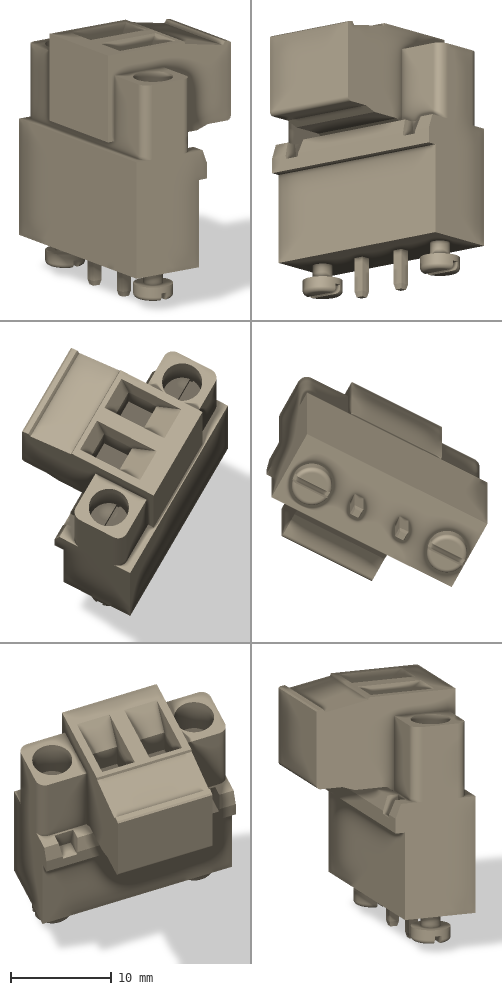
import cadquery as cq

overall_height = 25.9
pin_taper_height = 0.55
screw_bottom = 1.0
drive_slot_top = 1.85
screw_head_top = 2.49
housing_bottom = 4.01
latch_bottom = 13.03
latch_chamfer_bottom = 14.55
housing_top = 16.03
flange_top = 23.72

pitch = 5.08
overall_width = 20.33
plug_width = 10.15
pin_positions = (-pitch / 2, pitch / 2)
screw_positions = (-1.5 * pitch, 1.5 * pitch)

overall_depth = 15.05
housing_depth = 7.6
latch_depth = 8.6
latch_chamfer = 0.57
flange_front = 0.9
flange_back = 6.7
flange_radius = 0.98
screw_y = (flange_front + flange_back) / 2

notch_front = 6.92
notch_top_width = 2.02
notch_floor_width = 1.5
notch_depth = 1.81

plug_front = 0.1
plug_underside = 16.95
plug_step = 16.5
plug_corner_radius = 0.45

opening_width = 3.5
opening_front = 2.1
opening_back = 8.88
throat_width = 3.0
throat_front = 4.77
throat_back = 7.93
funnel_depth = 1.95
throat_depth = 2.6

shank_diameter = 2.0
screw_head_diameter = 4.0
screw_head_fillet = 0.45
drive_slot_width = 0.7
bore_diameter = 4.0
bore_depth = 5.18
cap_diameter = 3.9
cap_height = 1.3
cap_slot_width = 0.35
cap_slot_depth = 0.52
pin_size = 1.0
pin_tip_size = 0.73


def box(x_size, y_start, y_end, z_start, z_end, x_center=0.0):
    """Box centred on x_center and placed by its Y and Z limits."""
    base = cq.Workplane("XY", origin=(x_center, y_start, z_start))
    return base.box(x_size, y_end - y_start, z_end - z_start, centered=(True, False, False))


def cylinder(diameter, z_start, z_end, x_center):
    """Vertical cylinder on a screw axis."""
    base = cq.Workplane("XY", origin=(x_center, screw_y, z_start))
    return base.circle(diameter / 2).extrude(z_end - z_start)


def bar(x_size, y_size, z_start, z_end, x_center):
    """Rectangular bar centred on a screw or pin axis."""
    return box(x_size, screw_y - y_size / 2, screw_y + y_size / 2, z_start, z_end, x_center)


def side_profile(points, width):
    """Extrude a closed (Y, Z) outline symmetrically across X."""
    return cq.Workplane("YZ").polyline(points).close().extrude(width / 2, both=True)


def make_housing():
    """Block with a chamfered latch ledge along the top of its back."""
    outline = [
        (0, housing_bottom),
        (housing_depth, housing_bottom),
        (housing_depth, latch_bottom),
        (latch_depth, latch_bottom),
        (latch_depth, latch_chamfer_bottom),
        (latch_depth - latch_chamfer, housing_top),
        (0, housing_top),
    ]
    return side_profile(outline, overall_width)


def make_notch(x):
    """Notch with sloping sides, open to the back of the latch ledge."""
    floor = housing_top - notch_depth
    outline = [
        (x - notch_top_width / 2, housing_top),
        (x - notch_floor_width / 2, floor),
        (x + notch_floor_width / 2, floor),
        (x + notch_top_width / 2, housing_top),
    ]
    notch_length = latch_depth - notch_front
    return cq.Workplane("XZ", origin=(0, notch_front, 0)).polyline(outline).close().extrude(-notch_length)


def make_flange():
    """Full-width block whose two ends form the screw posts."""
    flange = box(overall_width, flange_front, flange_back, housing_top, flange_top)
    return flange.edges("|Z").fillet(flange_radius)


def make_plug():
    """Plug body with a grip lip at the back of its sloping top and a stepped underside."""
    outline = [
        (plug_front, overall_height),
        (9.4, overall_height),
        (9.5, 25.65),
        (14.1, 24.8),
        (14.35, 25.17),
        (14.87, 25.1),
        (overall_depth, 24.97),
        (overall_depth, plug_underside),
        (12.28, plug_underside),
        (10.93, plug_step),
        (7.49, plug_step),
        (6.85, housing_top),
        (flange_front, housing_top),
        (flange_front, plug_underside),
        (plug_front, plug_underside),
    ]
    lower_back_edge = cq.selectors.NearestToPointSelector((0, overall_depth, plug_underside))
    return side_profile(outline, plug_width).edges(lower_back_edge).fillet(plug_corner_radius)


def make_wire_opening(x):
    """Funnel narrowing from the plug top, followed by a straight throat."""
    opening_y = (opening_front + opening_back) / 2
    throat_y = (throat_front + throat_back) / 2
    funnel_bottom = overall_height - funnel_depth
    funnel = (
        cq.Workplane("XY", origin=(x, opening_y, overall_height))
        .rect(opening_width, opening_back - opening_front)
        .workplane(offset=-funnel_depth)
        .center(0, throat_y - opening_y)
        .rect(throat_width, throat_back - throat_front)
        .loft(ruled=True)
    )
    throat = box(throat_width, throat_front, throat_back, funnel_bottom - throat_depth, funnel_bottom, x)
    return funnel.union(throat)


def make_cap(x):
    """Slotted screw face resting on the floor of the flange bore."""
    bottom = flange_top - bore_depth
    top = bottom + cap_height
    slot = bar(cap_diameter, cap_slot_width, top - cap_slot_depth, top, x)
    return cylinder(cap_diameter, bottom, top, x).cut(slot)


def make_lower_screw(x):
    """Shank and slotted head hanging below the housing."""
    head = cylinder(screw_head_diameter, screw_bottom, screw_head_top, x)
    head = head.faces("<Z").edges().fillet(screw_head_fillet)
    slot = bar(screw_head_diameter, drive_slot_width, screw_bottom, drive_slot_top, x)
    shank = cylinder(shank_diameter, screw_head_top, housing_bottom, x)
    return shank.union(head.cut(slot))


def make_pin(x):
    """Square pin with a tapered tip."""
    shaft = bar(pin_size, pin_size, pin_taper_height, housing_bottom, x)
    tip = (
        cq.Workplane("XY", origin=(x, screw_y, 0))
        .rect(pin_tip_size, pin_tip_size)
        .workplane(offset=pin_taper_height)
        .rect(pin_size, pin_size)
        .loft(ruled=True)
    )
    return shaft.union(tip)


result = make_housing().union(make_flange()).union(make_plug())

for x in screw_positions:
    result = result.cut(make_notch(x))
    result = result.cut(cylinder(bore_diameter, flange_top - bore_depth, flange_top, x))
    result = result.union(make_cap(x)).union(make_lower_screw(x))

for x in pin_positions:
    result = result.cut(make_wire_opening(x)).union(make_pin(x))